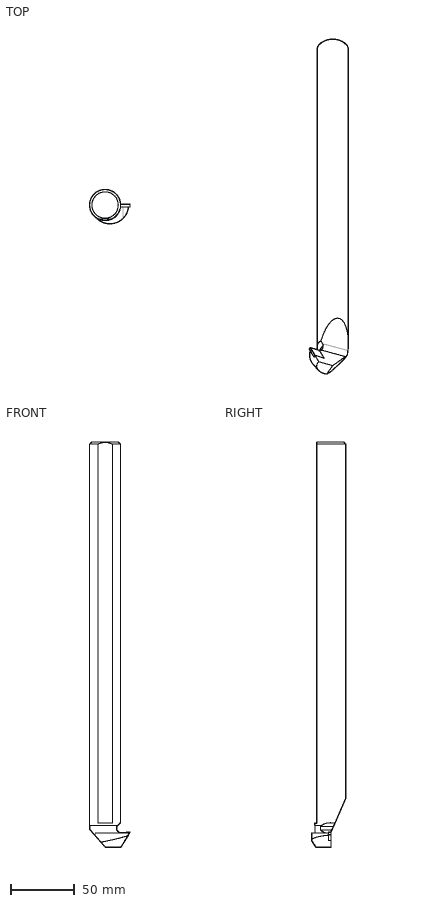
import cadquery as cq
import math

length = 317.7
shank_diameter = 24.5
shank_radius = shank_diameter / 2
end_chamfer = 2.0
flat_offset = 10.8
flat_start = 19.0

neck_radius = 12.0
neck_top = 17.0
width_y = 27.0
head_radius = 14.5
head_center_x = 3.8
head_center_y = shank_radius - width_y + head_radius
shelf_height = 11.5
nose_center_x = 2.0
nose_center_y = -1.0
nose_radius = 10.5
nose_slope = 0.62
nose_start_x = 0.3
back_chamfer_height = 14.3

rake_y = 0.5
rake_top = 12.5
ramp_bend_y = 3.0
ramp_top = 38.8

notch_floor_x = 9.2
notch_top = 19.5
notch_foot_x = 11.5
shelf_crease_x = 14.0
shelf_edge_drop = 0.3

width_x = 31.8
tip_x = width_x - shank_radius
tip_height = 12.0
insert_thickness = 2.2
insert_circle = 6.5
corner_angle = 55.0
upper_edge_tilt = 3.0

margin = 6.5
reach = 3 * shank_radius


def make_shank():
    shank = cq.Workplane("XY").workplane(offset=neck_top).circle(shank_radius).extrude(length - neck_top)
    return shank.faces(">Z").chamfer(end_chamfer)


def make_neck(bottom, top):
    return cq.Workplane("XY").workplane(offset=bottom).circle(neck_radius).extrude(top - bottom)


def make_flat_cut():
    depth = shank_radius - flat_offset + margin
    flat_length = length - flat_start + margin
    block = cq.Workplane("XY").box(reach, depth, flat_length, centered=(True, False, False))
    return block.translate((0, -flat_offset - depth, flat_start))


def make_head():
    return (
        cq.Workplane("XY")
        .center(head_center_x, head_center_y)
        .circle(head_radius)
        .extrude(shelf_height)
    )


def make_nose_cone(height):
    top_radius = nose_radius + nose_slope * height
    profile = [(0, 0), (nose_radius, 0), (top_radius, height), (0, height)]
    cone = cq.Workplane("XZ").polyline(profile).close().revolve(360, (0, 0), (0, 1))
    return cone.translate((nose_center_x, nose_center_y, 0))


def make_back_chamfer_cut():
    slope = back_chamfer_height / (shank_radius + nose_start_x)
    outer_x = -shank_radius - margin
    profile = [
        (nose_start_x + margin / slope, -margin),
        (outer_x, back_chamfer_height + margin * slope),
        (outer_x, -margin),
    ]
    return cq.Workplane("XZ").polyline(profile).close().extrude(reach, both=True)


def make_chip_cut():
    slope = (ramp_top - neck_top) / (shank_radius - ramp_bend_y)
    outer_y = shank_radius + margin
    profile = [
        (rake_y, -margin),
        (rake_y, rake_top),
        (ramp_bend_y, neck_top),
        (outer_y, ramp_top + margin * slope),
        (outer_y, -margin),
    ]
    return cq.Workplane("YZ").polyline(profile).close().extrude(reach, both=True)


def make_notch_cut():
    lead = shank_radius - notch_floor_x
    shelf_slope = shelf_edge_drop / (tip_x - shelf_crease_x)
    foot_rise = notch_foot_x - notch_floor_x
    profile = [
        (notch_floor_x, shelf_height + foot_rise),
        (notch_foot_x, shelf_height),
        (shelf_crease_x, shelf_height),
        (reach, shelf_height - shelf_slope * (reach - shelf_crease_x)),
        (reach, notch_top - lead + reach - notch_floor_x),
        (notch_floor_x, notch_top - lead),
    ]
    return cq.Workplane("XZ").polyline(profile).close().extrude(reach, both=True)


def make_insert():
    side = insert_circle / math.sin(math.radians(corner_angle))
    upper = math.radians(180 + upper_edge_tilt)
    lower = math.radians(180 + upper_edge_tilt + corner_angle)
    upper_step = cq.Vector(side * math.cos(upper), side * math.sin(upper))
    lower_step = cq.Vector(side * math.cos(lower), side * math.sin(lower))
    tip = cq.Vector(tip_x, tip_height)
    corners = [tip, tip + upper_step, tip + upper_step + lower_step, tip + lower_step]
    outline = [(corner.x, corner.y) for corner in corners]
    return cq.Workplane("XZ").polyline(outline).close().extrude(insert_thickness).translate((0, rake_y, 0))


def make_holder(insert):
    nose = make_neck(0, shelf_height).union(make_head()).intersect(make_nose_cone(shelf_height))
    holder = make_shank().union(make_neck(shelf_height, neck_top)).union(nose)
    for cutter in (make_flat_cut(), make_back_chamfer_cut(), make_chip_cut(), make_notch_cut()):
        holder = holder.cut(cutter)
    return holder.cut(insert).solids()


cutting_insert = make_insert()
holder = make_holder(cutting_insert)

result = cq.Compound.makeCompound([holder.val(), cutting_insert.val()])